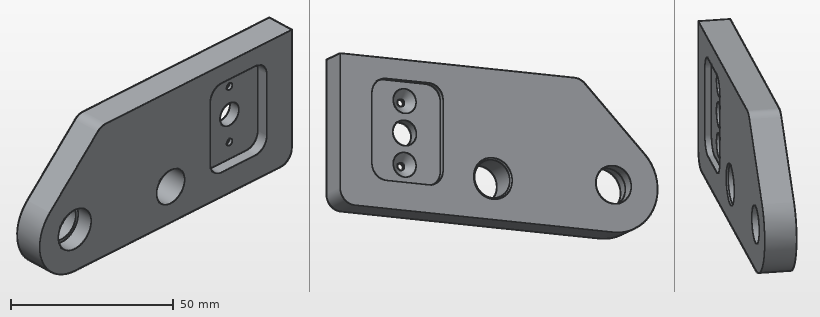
import cadquery as cq
import math

length = 108.0
height = 47.5
thickness = 10.0
tip_radius = 15.0
corner_radius = 5.0

bottom = -tip_radius
top = bottom + height
rear = length - tip_radius
tip_hole_diameter = 12.0
tip_recess_diameter = 14.0
tip_recess_depth = 5.7

pivot_y = 41.0
pivot_z = bottom + 13.0
pivot_diameter = 12.0
pivot_chamfer = 0.5

pocket_y = 70.1
pocket_z = bottom + 24.9
pocket_width = 24.2
pocket_height = 32.2
pocket_depth = 2.0
back_pocket_depth = 4.0
center_hole_diameter = 8.0
screw_offset = 10.0
screw_diameter = 2.4
countersink_diameter = 7.8
countersink_angle = 90.0


def bore(diameter, y, z, start, depth):
    """Cylinder along +X whose first end lies at X = start."""
    return cq.Workplane("YZ", origin=(start, y, z)).circle(diameter / 2).extrude(depth)


def cone(diameter, end_diameter, depth, y, z, start):
    """Cone along +X that narrows from diameter to end_diameter."""
    solid = cq.Solid.makeCone(
        diameter / 2, end_diameter / 2, depth, cq.Vector(start, y, z), cq.Vector(1, 0, 0)
    )
    return cq.Workplane(obj=solid)


def make_plate():
    tangent = tip_radius * math.sqrt(0.5)
    slope_top_y = top - 2 * tangent
    plate = (
        cq.Workplane("YZ")
        .moveTo(rear, top)
        .lineTo(slope_top_y, top)
        .lineTo(-tangent, tangent)
        .threePointArc((-tip_radius, 0), (0, bottom))
        .lineTo(rear, bottom)
        .close()
        .extrude(thickness)
    )
    rounded_corners = [(slope_top_y, top), (rear, bottom)]
    for y, z in rounded_corners:
        edge = plate.edges(cq.selectors.NearestToPointSelector((thickness / 2, y, z)))
        plate = edge.fillet(corner_radius)
    return plate


def cut_tip_hole(plate):
    plate = plate.cut(bore(tip_hole_diameter, 0, 0, 0, thickness))
    recess_floor = thickness - tip_recess_depth
    return plate.cut(bore(tip_recess_diameter, 0, 0, recess_floor, tip_recess_depth))


def cut_pivot_hole(plate):
    plate = plate.cut(bore(pivot_diameter, pivot_y, pivot_z, 0, thickness))
    rim_diameter = pivot_diameter + 2 * pivot_chamfer
    return plate.cut(cone(rim_diameter, pivot_diameter, pivot_chamfer, pivot_y, pivot_z, 0))


def pocket_block(start, depth):
    return (
        cq.Workplane("YZ", origin=(start, pocket_y, pocket_z))
        .rect(pocket_width, pocket_height)
        .extrude(depth)
        .edges("|X")
        .fillet(corner_radius)
    )


def cut_pockets(plate):
    plate = plate.cut(pocket_block(0, pocket_depth))
    plate = plate.cut(pocket_block(thickness - back_pocket_depth, back_pocket_depth))
    return plate.cut(bore(center_hole_diameter, pocket_y, pocket_z, 0, thickness))


def cut_screw_holes(plate):
    half_angle = math.radians(countersink_angle / 2)
    depth = (countersink_diameter - screw_diameter) / 2 / math.tan(half_angle)
    for offset in (-screw_offset, screw_offset):
        z = pocket_z + offset
        plate = plate.cut(bore(screw_diameter, pocket_y, z, 0, thickness))
        plate = plate.cut(
            cone(countersink_diameter, screw_diameter, depth, pocket_y, z, pocket_depth)
        )
    return plate


result = make_plate()
result = cut_tip_hole(result)
result = cut_pivot_hole(result)
result = cut_pockets(result)
result = cut_screw_holes(result)